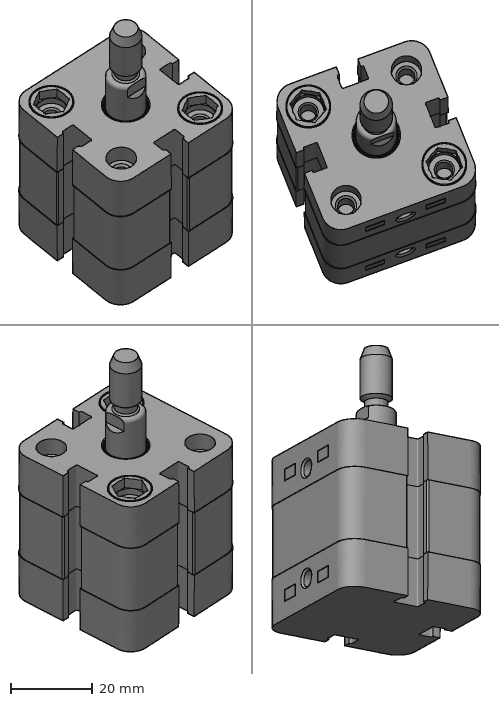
import cadquery as cq
import math

total_height = 71.0
body_height = 43.9
cap_height = 12.5
barrel_height = body_height - 2 * cap_height
joint_width = 40.3
end_width = 40.1
barrel_width = 40.05
corner_radius = 5.0

slot_angles = (0, 90, -90)
slot_mouth = 5.7
slot_pocket = 7.0
slot_depth = 5.75
slot_lip = 2.05
slot_corner_radius = 0.35
barrel_mouth_chamfer = 0.4

corner_offset = 13.0
mount_bore = 7.5
socket_depth = 4.7
thread_bore = 4.1
thread_mouth = 5.25
screw_thread_mouth = 5.0
thread_end_depth = 9.95
screw_head = 11.1
screw_head_chamfer = 0.3
screw_groove_depth = 0.4
screw_gap = 0.1
hex_size = 7.8
hex_depth = 2.85
socket_bore = 7.8
hex_relief = 8.0

port_bore = 4.1
port_mouth = 5.25
port_depth = 8.5
port_end_distance = 7.5
label_width = 5.05
label_height = 3.0
label_depth = 0.2
label_offset = 8.0
label_end_distance = 6.2

rod_diameter = 10.0
shoulder_height = 54.95
shoulder_radius = 1.0
neck_diameter = 5.8
neck_foot_diameter = 6.8
neck_foot_top = 55.4
neck_top = 57.2
thread_diameter = 8.0
thread_bottom = 58.1
tip_diameter = 6.0
tip_bottom = 68.3
flat_size = 8.0
flat_bottom = 51.6
seal_recess = 11.4
seal_recess_mouth = 12.0
seal_recess_depth = 0.15
seal_lip_mouth = 10.9
seal_lip_bore = 10.5
seal_bore_depth = 0.85


def round_cutter(stations):
    """Solid of revolution about Z through (diameter, z) stations listed along Z."""
    outline = [(0, stations[0][1])]
    outline += [(diameter / 2, z) for diameter, z in stations]
    outline.append((0, stations[-1][1]))
    return cq.Workplane("XZ").polyline(outline).close().revolve(360, (0, 0), (0, 1))


def rounded_block(width, height, taper=0.0):
    """Square block with rounded corners on Z = 0, narrowing upward by the taper angle."""
    outline = cq.Sketch().rect(width, width).vertices().fillet(corner_radius)
    return cq.Workplane("XY").placeSketch(outline).extrude(height, taper=taper)


def slot_cutter(height, mouth_chamfer=0.0):
    """T-slot cutter for the +X side, running up from Z = 0."""
    face = barrel_width / 2
    pocket_depth = slot_depth - slot_lip
    pocket = (
        cq.Workplane("XY")
        .box(pocket_depth, slot_pocket, height, centered=(False, True, False))
        .edges("|Z")
        .fillet(slot_corner_radius)
        .translate((face - slot_depth, 0, 0))
    )
    mouth = (
        cq.Workplane("XY")
        .box(slot_depth, slot_mouth, height, centered=(False, True, False))
        .translate((face - slot_depth / 2, 0, 0))
    )
    cutter = pocket.union(mouth)
    if mouth_chamfer:
        half_mouth = slot_mouth / 2
        flare = (
            cq.Workplane("XY")
            .polyline([
                (face - mouth_chamfer, -half_mouth),
                (face, -half_mouth - mouth_chamfer),
                (face, half_mouth + mouth_chamfer),
                (face - mouth_chamfer, half_mouth),
            ])
            .close()
            .extrude(height)
        )
        cutter = cutter.union(flare)
    return cutter


def cut_slots(block, cutter):
    for angle in slot_angles:
        block = block.cut(cutter.rotate((0, 0, 0), (0, 0, 1), angle))
    return block


def threaded_hole(bore, mouth, top, bottom):
    """Cutter for a hole with a 45 degree chamfered mouth."""
    chamfer = (mouth - bore) / 2
    return round_cutter([(bore, bottom), (bore, top - chamfer), (mouth, top)])


def make_cap():
    """Drafted end cap on its joint face, with slots, air port and label recesses."""
    draft = math.degrees(math.atan((joint_width - end_width) / 2 / cap_height))
    cap = cut_slots(rounded_block(joint_width, cap_height, draft), slot_cutter(cap_height))

    port = (
        threaded_hole(port_bore, port_mouth, joint_width / 2, joint_width / 2 - port_depth)
        .rotate((0, 0, 0), (0, 1, 0), -90)
        .translate((0, 0, cap_height - port_end_distance))
    )
    cap = cap.cut(port)

    for side in (-1, 1):
        label = (
            cq.Workplane("XY")
            .box(2 * label_depth, label_width, label_height)
            .translate((-joint_width / 2, side * label_offset, cap_height - label_end_distance))
        )
        cap = cap.cut(label)
    return cap


def make_lower_cap():
    """Cap turned upside down, with its joint face up against the barrel."""
    return make_cap().mirror("XY").translate((0, 0, cap_height))


def mount_cutter():
    """Counterbored threaded mounting hole, with its mouth at Z = 0."""
    counterbore = round_cutter([(mount_bore, -socket_depth), (mount_bore, 0)])
    return counterbore.union(threaded_hole(thread_bore, thread_mouth, -socket_depth, -thread_end_depth))


def screw_cutter():
    """Hex socket, threaded hole and chamfered rim of a flush tie screw, at Z = 0."""
    hex_corners = hex_size / math.cos(math.pi / 6)
    hexagon = cq.Workplane("XY").polygon(6, hex_corners).extrude(-hex_depth)
    relief = round_cutter([(hex_relief, -hex_depth), (hex_relief, 0)])
    socket = round_cutter([(socket_bore, -socket_depth), (socket_bore, -hex_depth)])
    thread = threaded_hole(thread_bore, screw_thread_mouth, -socket_depth, -thread_end_depth)
    outer = screw_head / 2
    inner = outer - screw_gap
    chamfer_drop = screw_head_chamfer - screw_gap
    rim = (
        cq.Workplane("XZ")
        .polyline([
            (outer - screw_head_chamfer, 0),
            (outer, 0),
            (outer, -screw_groove_depth),
            (inner, -screw_groove_depth),
            (inner, -chamfer_drop),
        ])
        .close()
        .revolve(360, (0, 0), (0, 1))
    )
    return hexagon.union(relief).union(socket).union(thread).union(rim)


def make_upper_cap():
    """Cap on top of the barrel, with corner holes, flush screws and the rod passage."""
    cap = make_cap().translate((0, 0, body_height - cap_height))
    for side in (-1, 1):
        x = side * corner_offset
        cap = cap.cut(mount_cutter().translate((x, -x, body_height)))
        cap = cap.cut(screw_cutter().translate((x, x, body_height)))

    floor = body_height - seal_recess_depth
    lip_bottom = floor - (seal_lip_mouth - seal_lip_bore) / 2
    rod_passage = round_cutter([
        (rod_diameter, body_height - cap_height),
        (rod_diameter, body_height - seal_bore_depth),
        (seal_lip_bore, body_height - seal_bore_depth),
        (seal_lip_bore, lip_bottom),
        (seal_lip_mouth, floor),
        (seal_recess, floor),
        (seal_recess_mouth, body_height),
    ])
    return cap.cut(rod_passage)


def make_barrel():
    cutter = slot_cutter(barrel_height, barrel_mouth_chamfer)
    barrel = cut_slots(rounded_block(barrel_width, barrel_height), cutter)
    return barrel.translate((0, 0, cap_height))


def make_rod():
    """Rod that fills the upper cap bore and starts at the barrel's top face."""
    rod_bottom = body_height - cap_height
    shaft = (
        cq.Workplane("XY", origin=(0, 0, rod_bottom))
        .circle(rod_diameter / 2)
        .extrude(shoulder_height - rod_bottom)
        .faces(">Z")
        .edges()
        .fillet(shoulder_radius)
    )

    bevel = (rod_diameter - flat_size) / 2
    for side in (-1, 1):
        flat = (
            cq.Workplane("XZ")
            .polyline([
                (side * flat_size / 2, shoulder_height),
                (side * flat_size / 2, flat_bottom),
                (side * (flat_size / 2 + bevel), flat_bottom - bevel),
                (side * (flat_size / 2 + bevel), shoulder_height),
            ])
            .close()
            .extrude(rod_diameter / 2, both=True)
        )
        shaft = shaft.cut(flat)

    stud = round_cutter([
        (neck_foot_diameter, shoulder_height),
        (neck_diameter, neck_foot_top),
        (neck_diameter, neck_top),
        (thread_diameter, thread_bottom),
        (thread_diameter, tip_bottom),
        (tip_diameter, total_height),
    ])
    return shaft.union(stud)


lower_cap = make_lower_cap()
barrel = make_barrel()
upper_cap = make_upper_cap()
rod = make_rod()

result = cq.Compound.makeCompound([lower_cap.val(), barrel.val(), upper_cap.val(), rod.val()])